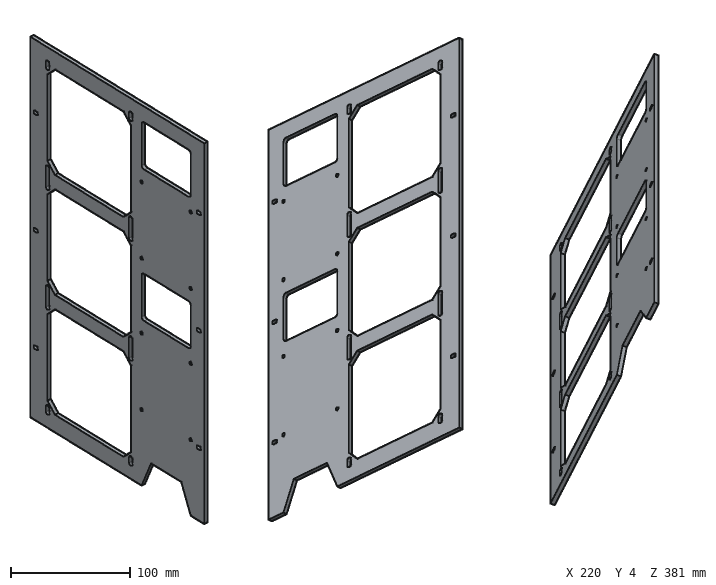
import cadquery as cq

PLATE_WIDTH = 220.0
PLATE_THICKNESS = 4.0
PLATE_HEIGHT = 381.0
LEFT_EDGE = -PLATE_WIDTH / 2
TOP_EDGE = PLATE_HEIGHT / 2
BOTTOM_EDGE = -PLATE_HEIGHT / 2

FAN_COUNT = 3
FAN_PITCH = 120.0
FAN_EDGE_DISTANCE = 74.5
FAN_X = LEFT_EDGE + FAN_EDGE_DISTANCE
FAN_OPENING = 105.5
FAN_CORNER_BEVEL = 9.5
FAN_CENTRES_Z = [(i - (FAN_COUNT - 1) / 2) * FAN_PITCH for i in range(FAN_COUNT)]

FAN_SCREW_SPACING = 105.0
FAN_SLOT_WIDTH = 4.3
FAN_SLOT_TRAVEL = 5.0
END_SLOT_LENGTH = FAN_SLOT_TRAVEL + FAN_SLOT_WIDTH
SHARED_SLOT_LENGTH = END_SLOT_LENGTH + FAN_PITCH - FAN_SCREW_SPACING

MODULE_EDGE_DISTANCE = 171.75
MODULE_X = LEFT_EDGE + MODULE_EDGE_DISTANCE
MODULE_PITCH = 151.5
WINDOW_WIDTH = 62.0
WINDOW_HEIGHT = 47.0
WINDOW_CORNER_RADIUS = 3.0
WINDOW_TOP_DISTANCE = 39.5
FIRST_WINDOW_Z = TOP_EDGE - WINDOW_TOP_DISTANCE
SCREW_HOLE_DIAMETER = 3.0
SCREW_SPACING_X = 62.0
SCREW_SPACING_Z = 76.5
WINDOW_TO_SCREW_CENTRE = 75.75
WINDOW_CENTRES_Z = [FIRST_WINDOW_Z, FIRST_WINDOW_Z - MODULE_PITCH]

MOUNT_ROWS = 3
MOUNT_PITCH = 117.5
MOUNT_EDGE_DISTANCE = 7.0
MOUNT_SLOT_LENGTH = 5.5
MOUNT_SLOT_WIDTH = 3.5
MOUNT_SPACING_X = PLATE_WIDTH - 2 * MOUNT_EDGE_DISTANCE

NOTCH_BOTTOM_WIDTH = 62.0
NOTCH_TOP_WIDTH = 38.0
NOTCH_HEIGHT = 28.0


def through(sketch):
    """Extrude a sketch on the XZ plane through the whole plate thickness."""
    return sketch.extrude(PLATE_THICKNESS / 2, both=True)


def at_points(points):
    """Start a workplane on the plate mid-plane with the given (x, z) points."""
    return cq.Workplane("XZ").pushPoints(points)


def fan_openings():
    points = [(FAN_X, z) for z in FAN_CENTRES_Z]
    openings = through(at_points(points).rect(FAN_OPENING, FAN_OPENING))
    return openings.edges("|Y").chamfer(FAN_CORNER_BEVEL)


def fan_slots():
    columns = [FAN_X - FAN_SCREW_SPACING / 2, FAN_X + FAN_SCREW_SPACING / 2]
    end_z = FAN_CENTRES_Z[-1] + FAN_SCREW_SPACING / 2
    shared_rows = [z + FAN_PITCH / 2 for z in FAN_CENTRES_Z[:-1]]
    end_points = [(x, z) for x in columns for z in (-end_z, end_z)]
    shared_points = [(x, z) for x in columns for z in shared_rows]
    end_slots = through(at_points(end_points).slot2D(END_SLOT_LENGTH, FAN_SLOT_WIDTH, 90))
    shared_slots = through(at_points(shared_points).slot2D(SHARED_SLOT_LENGTH, FAN_SLOT_WIDTH, 90))
    return end_slots.add(shared_slots).combine()


def module_windows():
    points = [(MODULE_X, z) for z in WINDOW_CENTRES_Z]
    windows = through(at_points(points).rect(WINDOW_WIDTH, WINDOW_HEIGHT))
    return windows.edges("|Y").fillet(WINDOW_CORNER_RADIUS)


def module_screw_holes():
    points = [
        (MODULE_X + side * SCREW_SPACING_X / 2, z - WINDOW_TO_SCREW_CENTRE + row * SCREW_SPACING_Z / 2)
        for z in WINDOW_CENTRES_Z
        for side in (-1, 1)
        for row in (-1, 1)
    ]
    return through(at_points(points).circle(SCREW_HOLE_DIAMETER / 2))


def mounting_slots():
    pattern = cq.Workplane("XZ").rarray(MOUNT_SPACING_X, MOUNT_PITCH, 2, MOUNT_ROWS)
    return through(pattern.slot2D(MOUNT_SLOT_LENGTH, MOUNT_SLOT_WIDTH))


def bottom_notch():
    notch_top = BOTTOM_EDGE + NOTCH_HEIGHT
    outline = cq.Workplane("XZ").polyline([
        (MODULE_X - NOTCH_BOTTOM_WIDTH / 2, BOTTOM_EDGE),
        (MODULE_X - NOTCH_TOP_WIDTH / 2, notch_top),
        (MODULE_X + NOTCH_TOP_WIDTH / 2, notch_top),
        (MODULE_X + NOTCH_BOTTOM_WIDTH / 2, BOTTOM_EDGE),
    ]).close()
    return through(outline)


plate = cq.Workplane("XY").box(PLATE_WIDTH, PLATE_THICKNESS, PLATE_HEIGHT)
result = (
    plate
    .cut(fan_openings())
    .cut(fan_slots())
    .cut(module_windows())
    .cut(module_screw_holes())
    .cut(mounting_slots())
    .cut(bottom_notch())
)